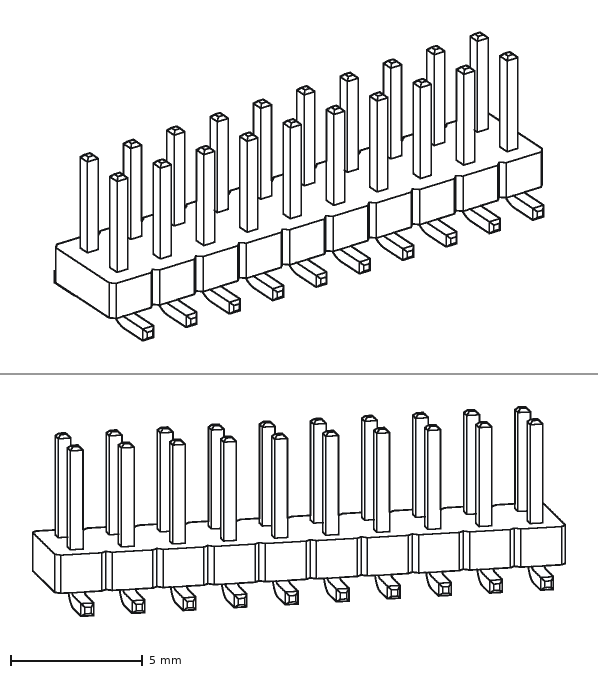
import cadquery as cq

pitch = 2.0
pin_rows = 10
body_width = 2 * pitch
body_height = 1.5
corner_cut = 0.2

pin_size = 0.5
pin_height_above_body = 4.0
tip_chamfer = pin_size / 4
foot_span = 6.2
body_clearance = 0.7
bend_inner_radius = 0.5

body_top = body_clearance + body_height
pin_top = body_top + pin_height_above_body


def make_cell():
    """Body cell at Y = 0; its cut corners form V notches with the neighbouring cells."""
    return (
        cq.Workplane("XY", origin=(0, 0, body_clearance))
        .rect(body_width, pitch)
        .extrude(body_height)
        .edges("|Z")
        .chamfer(corner_cut)
    )


def make_pin():
    """Left-hand pin at Y = 0: upright shank, quarter-circle bend and flat foot."""
    inner_x = -pitch / 2 + pin_size / 2
    outer_x = inner_x - pin_size
    foot_end_x = -foot_span / 2
    bend_outer_radius = bend_inner_radius + pin_size
    bend_x = outer_x - bend_inner_radius
    bend_z = bend_outer_radius
    pin = (
        cq.Workplane("XZ")
        .moveTo(foot_end_x, 0)
        .lineTo(bend_x, 0)
        .radiusArc((inner_x, bend_z), -bend_outer_radius)
        .lineTo(inner_x, pin_top)
        .lineTo(outer_x, pin_top)
        .lineTo(outer_x, bend_z)
        .radiusArc((bend_x, pin_size), bend_inner_radius)
        .lineTo(foot_end_x, pin_size)
        .close()
        .extrude(pin_size / 2, both=True)
    )
    return pin.faces(">Z or <X").chamfer(tip_chamfer)


cell = make_cell()
left_pin = make_pin()
right_pin = left_pin.mirror("YZ")
row_module = cell.union(left_pin).union(right_pin)

first_row_y = -(pin_rows - 1) * pitch / 2
result = cq.Workplane("XY")
for row in range(pin_rows):
    result = result.union(row_module.translate((0, first_row_y + row * pitch, 0)))
result = result.clean()